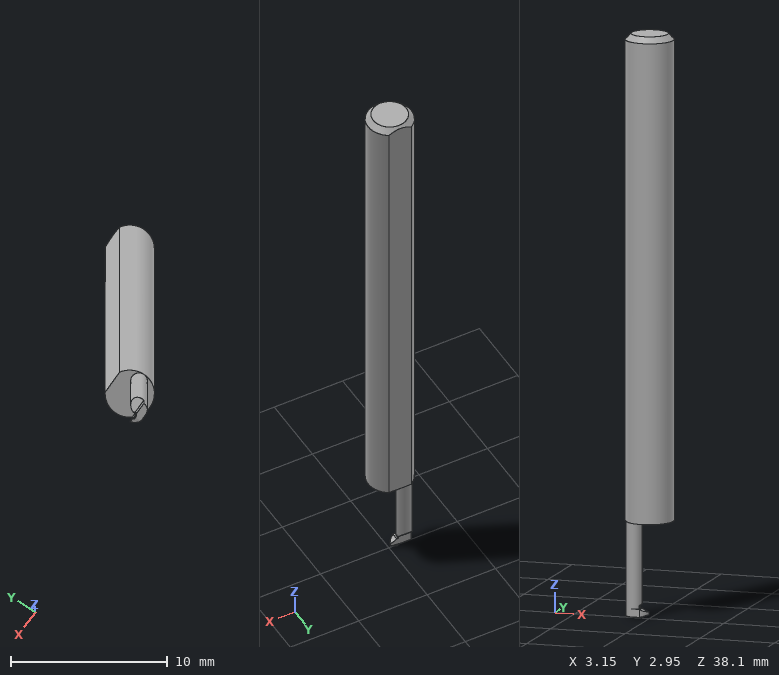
import cadquery as cq

total_length = 38.1
shank_diameter = 3.15
shank_radius = shank_diameter / 2
shank_depth = 2.95
shank_bottom = 6.4
top_chamfer = 0.4

neck_radius = 0.55
neck_center_x = neck_radius - shank_radius
neck_side_x = neck_center_x + neck_radius
neck_bottom = 0.1
neck_overlap = 0.4

rake_start = 0.8
rake_slope_top = rake_start + neck_radius

undercut_depth = 0.1
undercut_top = 0.9

head_top = 0.65
head_front_x = neck_side_x
tooth_tip_x = -0.05
tooth_tip_low = 0.23
tooth_tip_high = 0.42
tooth_shoulder_x = -0.35
tooth_shoulder_low = 0.15
tooth_shoulder_high = 0.55
clearance_bulge = 0.08

spike_thickness = 0.08
spike_half_width = 0.15


def make_shank():
    """Cylinder chamfered at the top, with a full-length flat on the +Y side."""
    length = total_length - shank_bottom
    shank = cq.Workplane("XY").workplane(offset=shank_bottom).circle(shank_radius).extrude(length)
    shank = shank.faces(">Z").chamfer(top_chamfer)
    envelope = cq.Workplane("XY").box(
        shank_diameter, shank_depth, total_length, centered=(True, False, False)
    )
    return shank.intersect(envelope.translate((0, -shank_radius, 0)))


def make_neck():
    """Eccentric cylinder with its back half sloped away above the tooth."""
    length = shank_bottom + neck_overlap - neck_bottom
    neck = (
        cq.Workplane("XY")
        .workplane(offset=neck_bottom)
        .center(neck_center_x, 0)
        .circle(neck_radius)
        .extrude(length)
    )
    rake_cut = (
        cq.Workplane("YZ")
        .polyline([(0, 0), (0, rake_start), (neck_radius, rake_slope_top), (neck_radius, 0)])
        .close()
        .extrude(shank_radius, both=True)
    )
    return neck.cut(rake_cut)


def make_undercut():
    """Cutter that notches the +X side of the neck with a 45-degree upper slope."""
    inner_x = neck_side_x - undercut_depth
    return (
        cq.Workplane("XZ")
        .polyline([
            (neck_side_x, head_top),
            (neck_side_x, undercut_top),
            (inner_x, undercut_top - undercut_depth),
            (inner_x, head_top),
        ])
        .close()
        .extrude(neck_radius, both=True)
    )


def make_head():
    """Flat-fronted head with a tooth on its +X side; its back is the rake plane."""
    silhouette = (
        cq.Workplane("XZ")
        .polyline([
            (neck_center_x, neck_bottom),
            (head_front_x, neck_bottom),
            (tooth_shoulder_x, tooth_shoulder_low),
            (tooth_tip_x, tooth_tip_low),
            (tooth_tip_x, tooth_tip_high),
            (tooth_shoulder_x, tooth_shoulder_high),
            (head_front_x, head_top),
            (neck_center_x, head_top),
        ])
        .close()
        .extrude(neck_radius)
    )
    section = (
        cq.Workplane("XY")
        .moveTo(neck_center_x, 0)
        .lineTo(neck_center_x, -neck_radius)
        .lineTo(head_front_x, -neck_radius)
        .sagittaArc((tooth_tip_x, 0), -clearance_bulge)
        .close()
        .extrude(head_top)
    )
    return silhouette.intersect(section)


def make_spike():
    """Thin triangular point that reaches the lowest level of the tool."""
    return (
        cq.Workplane("XZ")
        .polyline([
            (head_front_x - spike_half_width, neck_bottom),
            (head_front_x, 0),
            (head_front_x + spike_half_width, neck_bottom),
            (head_front_x, head_top),
        ])
        .close()
        .extrude(spike_thickness)
    )


neck = make_neck().cut(make_undercut())
result = make_shank().union(neck).union(make_head()).union(make_spike())